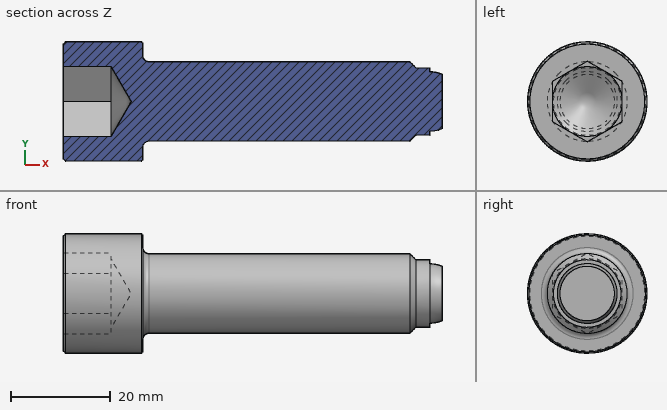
import cadquery as cq
import math


head_radius = 12.0
head_height = 16.0
head_top_chamfer = 0.5
head_bottom_chamfer = 0.3

socket_across_flats = 14.0
socket_depth = 9.6
socket_cone_angle = 120.0

shank_radius = 8.0
under_head_fillet = 1.2

screw_length = 60.0
thread_root_radius = 6.773
ball_radius = 6.0
ball_protrusion = 2.5
neck_length = 2.8

neck_end = screw_length - ball_protrusion
chamfer_end = neck_end - neck_length
thread_chamfer = shank_radius - thread_root_radius
ball_flat_radius = math.sqrt(ball_radius**2 - ball_protrusion**2)
ball_mid_x = ball_protrusion / 2
ball_mid_radius = math.sqrt(ball_radius**2 - ball_mid_x**2)
fillet_top_radius = shank_radius + under_head_fillet
fillet_mid_x = under_head_fillet * (1 - math.sin(math.pi / 4))
fillet_mid_radius = shank_radius + fillet_mid_x


def make_body():
    """Head, shank, thread neck and ball tip as one turned profile about X."""
    profile = (
        cq.Workplane("XY")
        .moveTo(-head_height, 0)
        .lineTo(-head_height, head_radius - head_top_chamfer)
        .lineTo(-head_height + head_top_chamfer, head_radius)
        .lineTo(-head_bottom_chamfer, head_radius)
        .lineTo(0, head_radius - head_bottom_chamfer)
        .lineTo(0, fillet_top_radius)
        .threePointArc((fillet_mid_x, fillet_mid_radius), (under_head_fillet, shank_radius))
        .lineTo(chamfer_end - thread_chamfer, shank_radius)
        .lineTo(chamfer_end, thread_root_radius)
        .lineTo(neck_end, thread_root_radius)
        .lineTo(neck_end, ball_radius)
        .threePointArc((neck_end + ball_mid_x, ball_mid_radius), (screw_length, ball_flat_radius))
        .lineTo(screw_length, 0)
        .close()
    )
    return profile.revolve(360, (0, 0, 0), (1, 0, 0))


def make_socket():
    """Hexagonal recess, flats facing +Y and -Y, with a conical bottom."""
    across_corners = socket_across_flats / math.cos(math.pi / 6)
    hexagon = (
        cq.Workplane("YZ", origin=(-head_height, 0, 0))
        .transformed(rotate=(0, 0, 90))
        .polygon(6, across_corners)
        .extrude(socket_depth)
    )
    cone_radius = socket_across_flats / 2
    cone_depth = cone_radius / math.tan(math.radians(socket_cone_angle / 2))
    socket_floor = socket_depth - head_height
    cone = (
        cq.Workplane("XY")
        .polyline([(socket_floor, 0), (socket_floor, cone_radius), (socket_floor + cone_depth, 0)])
        .close()
        .revolve(360, (0, 0, 0), (1, 0, 0))
    )
    return hexagon.union(cone)


result = make_body().cut(make_socket())